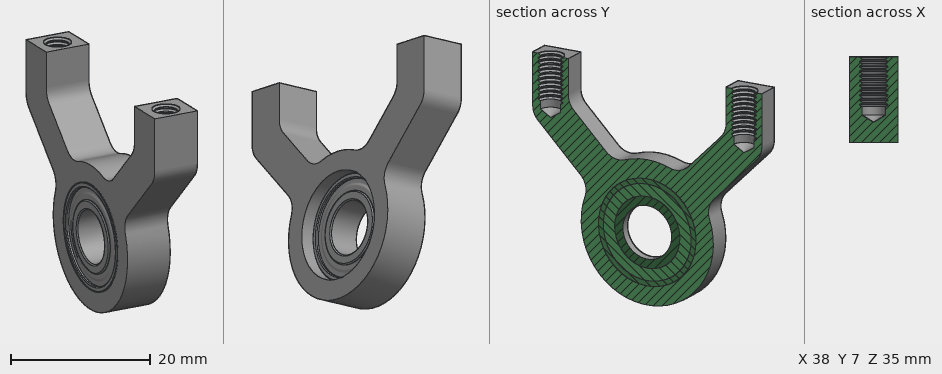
import cadquery as cq
import math

span = 38.0
thickness = 7.0
back = thickness / 2
front = -back
disc_radius = 11.0
arm_width = 6.0
arm_top = 24.0
bend_radius = 3.0
selection_margin = 0.38
arm_x = (span - arm_width) / 2

thread_radius = 2.0
drill_radius = 1.65
thread_pitch = 0.7
thread_turns = 11
groove_root_flat = 0.08
flank_angle = 30.0
drill_depth = 8.35
drill_point_angle = 118.0

bearing_radius = 8.0
bore_radius = 4.0
bearing_width = 5.0
bearing_middle = front + bearing_width / 2
outer_ring_chamfer = 0.15
inner_ring_chamfer = 0.2
outer_ring_inner_radius = 7.22
inner_ring_outer_radius = 5.45
shield_step_outer_radius = 6.55
shield_step_inner_radius = 6.2
shield_rim_recess = 0.45
shield_lip_recess = 0.25
shield_step_fillet = 0.23


def back_plane():
    """Plane of the bracket's back face; extruding from it runs toward the front."""
    return cq.Workplane("XZ", origin=(0, back, 0))


def chamfered_ring(inner_radius, outer_radius, chamfer):
    """A plain bearing ring with all four rims chamfered."""
    front_plane = cq.Workplane("XZ", origin=(0, front, 0))
    ring = front_plane.circle(outer_radius).circle(inner_radius).extrude(-bearing_width)
    return ring.faces("<Y or >Y").edges().chamfer(chamfer)


def bracket_arm(side):
    """One arm: a radial 45 degree limb that bends up into a vertical tip."""
    half_width = arm_width / 2
    limb_offset = half_width * math.sqrt(2)
    outer_x = arm_x + half_width
    inner_x = arm_x - half_width
    outline = [
        (0, -limb_offset),
        (side * outer_x, outer_x - limb_offset),
        (side * outer_x, arm_top),
        (side * inner_x, arm_top),
        (side * inner_x, inner_x + limb_offset),
        (0, limb_offset),
    ]
    arm = back_plane().polyline(outline).close().extrude(thickness)
    bend_box = cq.selectors.BoxSelector(
        (side * (inner_x - selection_margin), -thickness, outer_x - limb_offset - selection_margin),
        (side * (outer_x + selection_margin), thickness, inner_x + limb_offset + selection_margin),
    )
    return arm.edges(bend_box).edges("|Y").fillet(bend_radius)


def tapped_hole(x):
    """Cutter for a drilled hole with a conical end and thread grooves that start at the mouth."""
    point_depth = drill_radius / math.tan(math.radians(drill_point_angle / 2))
    flank_height = (thread_radius - drill_radius) * math.tan(math.radians(flank_angle))
    profile = [(0, 0)]
    for turn in range(thread_turns):
        root_top = -turn * thread_pitch
        root_bottom = root_top - groove_root_flat
        if turn > 0:
            profile.append((drill_radius, root_top + flank_height))
        profile += [
            (thread_radius, root_top),
            (thread_radius, root_bottom),
            (drill_radius, root_bottom - flank_height),
        ]
    profile += [(drill_radius, -drill_depth), (0, -drill_depth - point_depth)]
    cutter = cq.Workplane("XZ").polyline(profile).close().revolve(360, (0, 0, 0), (0, 1, 0))
    return cutter.translate((x, 0, arm_top))


def make_bracket():
    """Disc with two arms, a through bore for the bearing and a tapped hole in each arm tip."""
    body = back_plane().circle(disc_radius).extrude(thickness)
    for side in (-1, 1):
        body = body.union(bracket_arm(side))
    junction_edges = cq.selectors.BoxSelector(
        (-disc_radius, -thickness, selection_margin),
        (disc_radius, thickness, disc_radius),
    )
    body = body.edges(junction_edges).edges("|Y").fillet(bend_radius)
    seat = back_plane().circle(bearing_radius).extrude(thickness)
    body = body.cut(seat)
    for side in (-1, 1):
        body = body.cut(tapped_hole(side * arm_x))
    return body


def make_shield():
    """Shield that fills the gap between the rings, with a stepped face at each end."""
    front_half = [
        (inner_ring_outer_radius, front + shield_lip_recess),
        (shield_step_inner_radius, front + shield_lip_recess),
        (shield_step_outer_radius, front + shield_rim_recess),
        (outer_ring_inner_radius, front + shield_rim_recess),
    ]
    back_half = [(radius, 2 * bearing_middle - y) for radius, y in reversed(front_half)]
    profile = cq.Workplane("XY").polyline(front_half + back_half).close()
    body = profile.revolve(360, (0, 0, 0), (0, 1, 0))
    inner_step_edges = cq.selectors.RadiusNthSelector(1)
    outer_step_edges = cq.selectors.RadiusNthSelector(2)
    step_edges = cq.selectors.SumSelector(inner_step_edges, outer_step_edges)
    return body.edges(step_edges).fillet(shield_step_fillet)


bracket = make_bracket()
outer_ring = chamfered_ring(outer_ring_inner_radius, bearing_radius, outer_ring_chamfer)
inner_ring = chamfered_ring(bore_radius, inner_ring_outer_radius, inner_ring_chamfer)
shield = make_shield()

result = cq.Compound.makeCompound([bracket.val(), outer_ring.val(), inner_ring.val(), shield.val()])